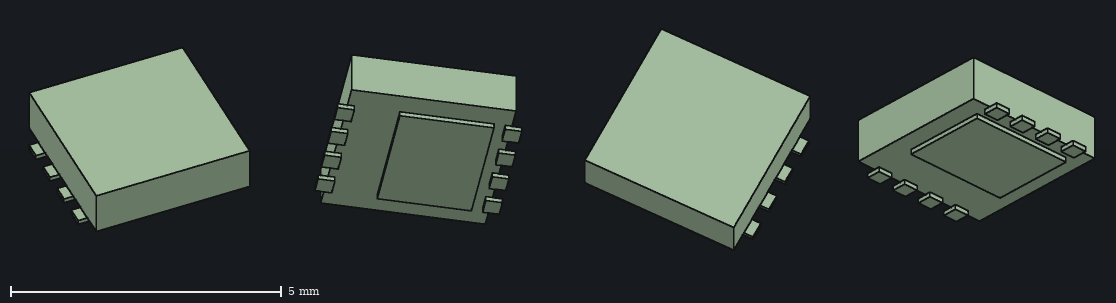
import cadquery as cq

overall_length = 3.47
body_side = 3.1
body_height = 0.9
metal_thickness = 0.1
lead_width = 0.323
lead_length = 0.315
lead_pitch = 0.65
leads_per_side = 4
pad_length = 1.77
pad_center_y = 0.323

lead_row_span = (leads_per_side - 1) * lead_pitch
pad_width = lead_row_span + lead_width
lead_center_y = (overall_length - lead_length) / 2


def make_block(size_x, size_y, size_z, center_x, center_y, bottom_z):
    """Plain block centred in X and Y, standing on bottom_z."""
    return (
        cq.Workplane("XY")
        .box(size_x, size_y, size_z, centered=(True, True, False))
        .translate((center_x, center_y, bottom_z))
    )


def make_housing():
    """Square package body resting on the leads and the pad."""
    return make_block(body_side, body_side, body_height, 0, 0, metal_thickness)


def make_thermal_pad():
    """Flat pad under the housing, between the two lead rows."""
    return make_block(pad_width, pad_length, metal_thickness, 0, pad_center_y, 0)


def make_lead(center_x, center_y):
    """Flat lead under the housing, with its tip outside the edge."""
    return make_block(lead_width, lead_length, metal_thickness, center_x, center_y, 0)


housing = make_housing()
thermal_pad = make_thermal_pad()

leads = []
for row_y in (-lead_center_y, lead_center_y):
    for index in range(leads_per_side):
        lead_x = index * lead_pitch - lead_row_span / 2
        leads.append(make_lead(lead_x, row_y).val())

result = cq.Compound.makeCompound([housing.val(), thermal_pad.val(), *leads])